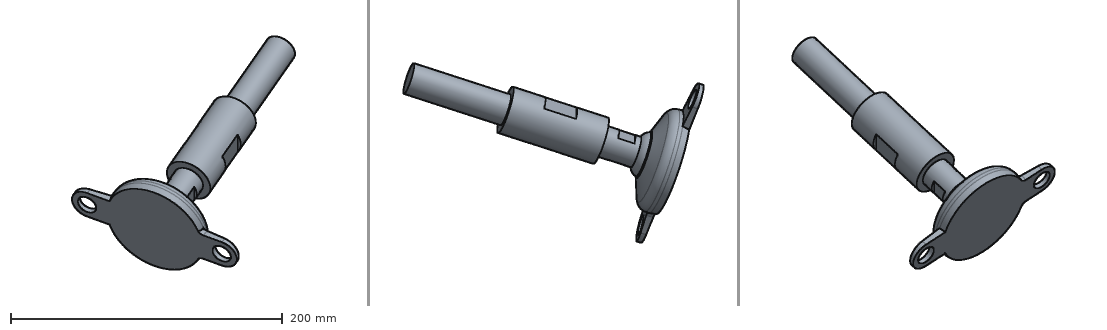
import cadquery as cq
import math

overall_length = 206.5

sole_radius = 39.0
rim_radius = 39.95
rim_low_y = 5.8
rim_high_radius = 39.6
rim_high_y = 8.7
shoulder_radius = 34.5
shoulder_y = 15.5
neck_radius = 18.2
neck_y = 22.0
neck_arc_radius = 17.3
neck_arc_y = 23.0
rod_radius = 12.0
rod_start_y = 28.5
neck_bulge = 0.6

ear_span = 136.0
ear_width = 25.0
ear_hole_diameter = 15.0
ear_root_x = 37.2
ear_root_thickness = 5.8
ear_tip_thickness = 3.5
ear_root_fillet = 5.0

rod_flat_start_y = 33.0
rod_flat_length = 12.8
rod_across_flats = 19.5

sleeve_radius = 18.0
sleeve_start_y = 56.0
sleeve_length = 74.8
sleeve_flat_length = sleeve_length / 3
sleeve_across_flats = 30.5

ear_radius = ear_width / 2
ear_hole_x = ear_span / 2 - ear_radius


def cylinder_y(radius, start_y, length):
    """Cylinder on the Y axis, from start_y towards +Y."""
    return cq.Workplane("XZ", origin=(0, start_y, 0)).circle(radius).extrude(-length)


def cut_wrench_flats(body, across_flats, start_y, length, body_radius):
    """Cut two parallel flats facing -X and +X."""
    width = 2 * body_radius
    for side in (-1, 1):
        cutter = cq.Workplane("XY").box(width, length, width).translate(
            (side * (across_flats / 2 + body_radius), start_y + length / 2, 0)
        )
        body = body.cut(cutter)
    return body


def make_foot_and_rod_blank():
    """Revolved foot, neck and rod."""
    neck_mid = (
        (neck_arc_radius + rod_radius) / 2 + neck_bulge,
        (neck_arc_y + rod_start_y) / 2 + neck_bulge,
    )
    return (
        cq.Workplane("XY")
        .moveTo(0, 0)
        .lineTo(sole_radius, 0)
        .lineTo(rim_radius, rim_low_y)
        .lineTo(rim_high_radius, rim_high_y)
        .tangentArcPoint((shoulder_radius, shoulder_y), relative=False)
        .lineTo(neck_radius, neck_y)
        .lineTo(neck_arc_radius, neck_arc_y)
        .threePointArc(neck_mid, (rod_radius, rod_start_y))
        .lineTo(rod_radius, overall_length)
        .lineTo(0, overall_length)
        .close()
        .revolve(360, (0, 0, 0), (0, 1, 0))
    )


def make_ear_root_web():
    """Filleted corners joining the +X ear to the sole circle."""
    center_z = ear_radius + ear_root_fillet
    center_distance = sole_radius + ear_root_fillet
    center_x = math.sqrt(center_distance**2 - center_z**2)
    touch_x = center_x * sole_radius / center_distance
    touch_z = center_z * sole_radius / center_distance
    middle_angle = (math.atan2(center_z, center_x) + math.pi / 2) / 2
    middle_x = center_x - ear_root_fillet * math.cos(middle_angle)
    middle_z = center_z - ear_root_fillet * math.sin(middle_angle)
    return (
        cq.Workplane("XZ")
        .moveTo(0, -touch_z)
        .lineTo(touch_x, -touch_z)
        .threePointArc((middle_x, -middle_z), (center_x, -ear_radius))
        .lineTo(center_x, ear_radius)
        .threePointArc((middle_x, middle_z), (touch_x, touch_z))
        .lineTo(0, touch_z)
        .close()
        .extrude(-ear_root_thickness)
    )


def make_ears():
    """Slotted-outline plate whose upper face slopes down to both tips."""
    tip_x = ear_span / 2
    outline = cq.Workplane("XZ").slot2D(ear_span, ear_width).extrude(-ear_root_thickness)
    outline = outline.union(make_ear_root_web())
    sloped_plate = (
        cq.Workplane("XY")
        .polyline([
            (-tip_x, 0),
            (tip_x, 0),
            (tip_x, ear_tip_thickness),
            (ear_root_x, ear_root_thickness),
            (-ear_root_x, ear_root_thickness),
            (-tip_x, ear_tip_thickness),
        ])
        .close()
        .extrude(sole_radius, both=True)
    )
    return outline.intersect(sloped_plate)


def make_foot():
    """Foot with its ears and rod, in one piece."""
    foot = make_foot_and_rod_blank().union(make_ears())
    holes = (
        cq.Workplane("XZ")
        .pushPoints([(-ear_hole_x, 0), (ear_hole_x, 0)])
        .circle(ear_hole_diameter / 2)
        .extrude(-ear_root_thickness)
    )
    foot = foot.cut(holes)
    return cut_wrench_flats(foot, rod_across_flats, rod_flat_start_y, rod_flat_length, rod_radius)


def make_sleeve():
    """Sleeve bored to fit the rod."""
    sleeve = cylinder_y(sleeve_radius, sleeve_start_y, sleeve_length)
    flat_start_y = sleeve_start_y + (sleeve_length - sleeve_flat_length) / 2
    sleeve = cut_wrench_flats(
        sleeve, sleeve_across_flats, flat_start_y, sleeve_flat_length, sleeve_radius
    )
    return sleeve.cut(cylinder_y(rod_radius, sleeve_start_y, sleeve_length))


foot = make_foot()
sleeve = make_sleeve()

result = cq.Compound.makeCompound([foot.val(), sleeve.val()])